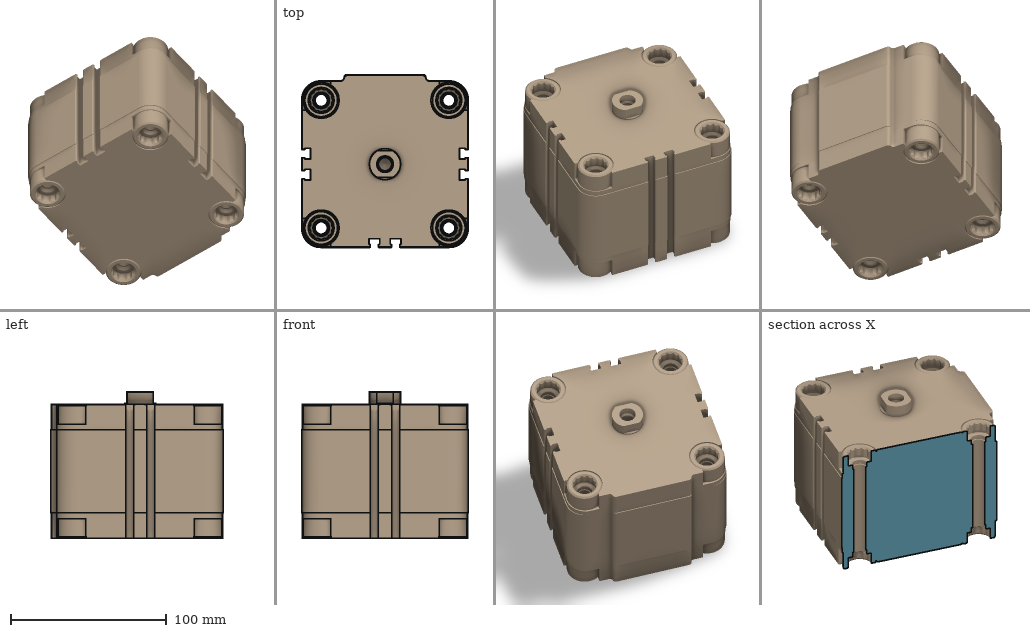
import cadquery as cq
import math

tube_width = 107.0
cap_inset = 0.5
cap_height = 16.5
tube_top = 69.7
housing_height = 85.9
screw_offset = 41.0

pad_face_y = 57.5
pad_foot_y = tube_width / 2
pad_top_half_width = 25.8
pad_foot_half_width = 26.9
pad_fillet = 2.0
foot_edge_margin = 0.1

slot_offset = 6.8
slot_width = 6.8
slot_depth = 5.5
slot_mouth_width = 5.1
slot_lip_thickness = 1.8
slot_lip_bevel = 0.5
slot_mouth_radius = 0.8

corner_step = 34.7
head_height = 12.7
head_diameter = 23.0
head_chamfer = 1.0
socket_mouth_diameter = 16.5
socket_diameter = 15.4
socket_ridge_radius = 7.0
socket_mouth_depth = 1.5
socket_depth = 7.8
ridge_depth = 6.2
ridge_count = 12
screw_hole_diameter = 8.0
screw_countersink_diameter = 10.5
screw_counterbore_diameter = 9.5
screw_counterbore_depth = 3.3

rod_diameter = 20.0
rod_top = 94.0
rod_insertion = housing_height - tube_top
rod_flat_width = 17.0
rod_collar_height = 0.9
rod_flat_bottom = housing_height + rod_collar_height
thread_relief_diameter = 10.5
thread_relief_depth = 5.0
thread_hole_diameter = 8.5
thread_hole_depth = 16.6
drill_tip_angle = 118.0

corner_signs = [(sign_x, sign_y) for sign_x in (-1, 1) for sign_y in (-1, 1)]


def cylinder(diameter, bottom, top):
    """Cylinder on the Z axis."""
    return cq.Workplane("XY").workplane(offset=bottom).circle(diameter / 2).extrude(top - bottom)


def cone(bottom_diameter, top_diameter, bottom, top):
    """Cone frustum on the Z axis; a zero diameter makes a pointed end."""
    height = top - bottom
    base = cq.Vector(0, 0, bottom)
    return cq.Workplane(cq.Solid.makeCone(bottom_diameter / 2, top_diameter / 2, height, base))


def slot_cutter(inset, bottom, top):
    """T-slot with rounded mouth edges, opening through the -Y face of a section inset from the tube."""
    face = -tube_width / 2 + inset
    floor = -tube_width / 2 + slot_depth
    lip_inside = -tube_width / 2 + slot_lip_thickness
    half_width = slot_width / 2
    half_mouth = slot_mouth_width / 2
    radius = slot_mouth_radius
    bend = radius * math.sqrt(0.5)
    return (
        cq.Workplane("XY")
        .workplane(offset=bottom)
        .moveTo(half_mouth + radius, face)
        .threePointArc((half_mouth + radius - bend, face + radius - bend), (half_mouth, face + radius))
        .lineTo(half_mouth, lip_inside)
        .lineTo(half_width, lip_inside + slot_lip_bevel)
        .lineTo(half_width, floor)
        .lineTo(-half_width, floor)
        .lineTo(-half_width, lip_inside + slot_lip_bevel)
        .lineTo(-half_mouth, lip_inside)
        .lineTo(-half_mouth, face + radius)
        .threePointArc((-half_mouth - radius + bend, face + radius - bend), (-half_mouth - radius, face))
        .close()
        .extrude(top - bottom)
    )


def pad(inset, bottom, top):
    """Raised pad with sloping flanks, reaching back to the rod axis plane."""
    face = pad_face_y - inset
    return (
        cq.Workplane("XY")
        .workplane(offset=bottom)
        .polyline([
            (-pad_foot_half_width, 0),
            (-pad_foot_half_width, pad_foot_y),
            (-pad_top_half_width, face),
            (pad_top_half_width, face),
            (pad_foot_half_width, pad_foot_y),
            (pad_foot_half_width, 0),
        ])
        .close()
        .extrude(top - bottom)
        .edges("|Z and >Y")
        .fillet(pad_fillet)
    )


def profile_section(inset, bottom, top):
    """Length of the housing profile, set in by the given amount except on the flats beside the pad."""
    half_width = tube_width / 2 - inset
    section = (
        cq.Workplane("XY")
        .workplane(offset=bottom)
        .moveTo(-half_width, -half_width)
        .lineTo(half_width, -half_width)
        .lineTo(half_width, pad_foot_y)
        .lineTo(-half_width, pad_foot_y)
        .close()
        .extrude(top - bottom)
        .edges("|Z and <Y")
        .fillet(half_width - screw_offset)
        .edges("|Z and >Y")
        .fillet(pad_foot_y - screw_offset)
        .union(pad(inset, bottom, top))
    )
    for side in (-1, 1):
        foot = cq.Vector(side * pad_foot_half_width, pad_foot_y, 0)
        reach = cq.Vector(foot_edge_margin, foot_edge_margin, housing_height)
        foot_edge = section.edges("|Z").edges(cq.selectors.BoxSelector(foot - reach, foot + reach))
        section = foot_edge.fillet(pad_fillet)
    for face_angle in (-90, 0, 90):
        for side in (-1, 1):
            slot = slot_cutter(inset, bottom, top).translate((side * slot_offset, 0, 0))
            section = section.cut(slot.rotate((0, 0, 0), (0, 0, 1), face_angle))
    return section


def head_chamfer_ring():
    """Material taken off the rim of a screw head."""
    bottom = housing_height - head_chamfer
    outer = cylinder(head_diameter, bottom, housing_height)
    return outer.cut(cone(head_diameter, head_diameter - 2 * head_chamfer, bottom, housing_height))


def socket_cutter():
    """Twelve-point socket with a tapered mouth and a countersunk screw bore below it."""
    floor = housing_height - socket_depth
    ridge_bottom = housing_height - ridge_depth
    mouth_bottom = housing_height - socket_mouth_depth
    star_points = []
    for corner in range(2 * ridge_count):
        angle = math.pi * corner / ridge_count
        radius = socket_ridge_radius if corner % 2 else socket_diameter / 2
        star_points.append((radius * math.cos(angle), radius * math.sin(angle)))
    star = cq.Workplane("XY").workplane(offset=floor).polyline(star_points).close().extrude(socket_depth)
    mouth = cone(2 * socket_ridge_radius, socket_mouth_diameter, mouth_bottom, housing_height)
    sink_bottom = floor - (screw_countersink_diameter - screw_counterbore_diameter) / 2
    countersink = cone(screw_counterbore_diameter, screw_countersink_diameter, sink_bottom, floor)
    counterbore = cylinder(screw_counterbore_diameter, floor - screw_counterbore_depth, floor)
    return (
        cylinder(socket_diameter, floor, ridge_bottom)
        .union(star)
        .union(mouth)
        .union(countersink)
        .union(counterbore)
    )


def corner_step_cutter():
    """Square step, just below the top, that bares the outer side of a screw head at the +X +Y corner."""
    size = tube_width / 2 - corner_step
    return (
        cq.Workplane("XY")
        .box(size, size, head_height, centered=False)
        .translate((corner_step, corner_step, housing_height - head_height))
    )


def at_each_corner(shape):
    """Copies of a shape made at a top corner screw, for all corners of the top and the bottom."""
    mirrored = shape.mirror("XY").translate((0, 0, housing_height))
    copies = []
    for level in (shape, mirrored):
        for sign_x, sign_y in corner_signs:
            copies.append(level.translate((sign_x * screw_offset, sign_y * screw_offset, 0)))
    return copies


def make_housing():
    """Tube, end caps and screws as one solid, bored for the rod in its top cap."""
    housing = (
        profile_section(0, cap_height, tube_top)
        .union(profile_section(cap_inset, 0, cap_height))
        .union(profile_section(cap_inset, tube_top, housing_height))
    )
    step = corner_step_cutter()
    for level in (step, step.mirror("XY").translate((0, 0, housing_height))):
        for quarter in range(4):
            housing = housing.cut(level.rotate((0, 0, 0), (0, 0, 1), 90 * quarter))
    for head in at_each_corner(cylinder(head_diameter, housing_height - head_height, housing_height)):
        housing = housing.union(head)
    for ring in at_each_corner(head_chamfer_ring()):
        housing = housing.cut(ring)
    for socket in at_each_corner(socket_cutter()):
        housing = housing.cut(socket)
    for sign_x, sign_y in corner_signs:
        bore = cylinder(screw_hole_diameter, 0, housing_height)
        housing = housing.cut(bore.translate((sign_x * screw_offset, sign_y * screw_offset, 0)))
    return housing.cut(cylinder(rod_diameter, housing_height - rod_insertion, rod_top))


def make_rod():
    """Rod with two wrench flats and a drilled hole that is relieved at its mouth."""
    rod = cylinder(rod_diameter, housing_height - rod_insertion, rod_top)
    for side in (-1, 1):
        flat = (
            cq.Workplane("XY")
            .box(rod_diameter, rod_diameter, rod_top - rod_flat_bottom, centered=(True, True, False))
            .translate((0, side * (rod_flat_width + rod_diameter) / 2, rod_flat_bottom))
        )
        rod = rod.cut(flat)
    relief_bottom = rod_top - thread_relief_depth
    seat_depth = (thread_relief_diameter - thread_hole_diameter) / 2
    drill_bottom = rod_top - thread_hole_depth
    tip_length = thread_hole_diameter / 2 / math.tan(math.radians(drill_tip_angle / 2))
    return (
        rod.cut(cylinder(thread_relief_diameter, relief_bottom, rod_top))
        .cut(cone(thread_hole_diameter, thread_relief_diameter, relief_bottom - seat_depth, relief_bottom))
        .cut(cylinder(thread_hole_diameter, drill_bottom, rod_top))
        .cut(cone(0, thread_hole_diameter, drill_bottom - tip_length, drill_bottom))
    )


housing = make_housing()
rod = make_rod()
result = cq.Compound.makeCompound([housing.val(), rod.val()])